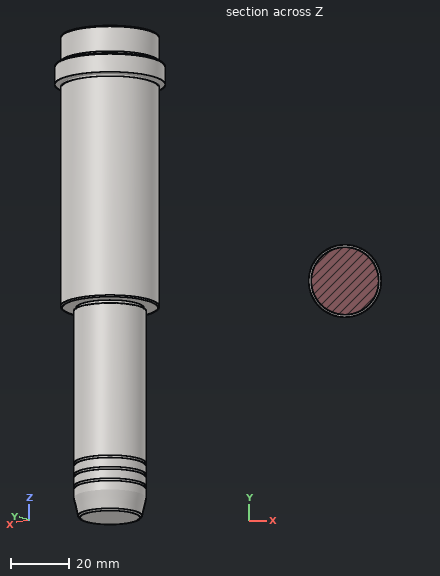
import cadquery as cq

total_length = 170.0
collar_top = 159.8
collar_bottom = 153.0
body_bottom = 74.1

collar_radius = 19.0
body_radius = 17.0
shank_diameter = 25.0
shank_radius = shank_diameter / 2

body_chamfer = 0.5
collar_chamfer = 0.5

collar_relief_width = 1.0
shank_relief_depth = 0.8
shank_relief_width = 1.2

groove_count = 3
lowest_groove_z = 10.5
groove_pitch = 4.0
groove_width = 0.8

taper_height = 7.0
tip_radius = 11.0
tip_chamfer = 0.7


def cylinder(radius, bottom, top):
    """Solid cylinder on the Z axis between two heights."""
    return cq.Workplane("XY").workplane(offset=bottom).circle(radius).extrude(top - bottom)


def round_groove(shaft_radius, center_z, width):
    """Ring of circular section to cut a half-round groove into a shaft."""
    section = cq.Workplane("XZ").center(shaft_radius, center_z).circle(width / 2)
    return section.revolve(360, (-shaft_radius, 0), (-shaft_radius, 1))


def tapered_tip():
    """Conical lead-in with a chamfered end face."""
    profile = [
        (0, 0),
        (tip_radius - tip_chamfer, 0),
        (tip_radius, tip_chamfer),
        (shank_radius, taper_height),
        (0, taper_height),
    ]
    return cq.Workplane("XZ").polyline(profile).close().revolve(360, (0, 0), (0, 1))


body = cylinder(body_radius, body_bottom, total_length).faces("<Z or >Z").chamfer(body_chamfer)
for relief_center in (collar_top + collar_relief_width / 2, collar_bottom - collar_relief_width / 2):
    body = body.cut(round_groove(body_radius, relief_center, collar_relief_width))

collar = cylinder(collar_radius, collar_bottom, collar_top).faces(">Z").chamfer(collar_chamfer)

neck_bottom = body_bottom - shank_relief_width
neck = cylinder(shank_radius - shank_relief_depth, neck_bottom, body_bottom)
shank = cylinder(shank_radius, taper_height, neck_bottom)
for index in range(groove_count):
    groove_z = lowest_groove_z + index * groove_pitch
    shank = shank.cut(round_groove(shank_radius, groove_z, groove_width))

result = body.union(collar).union(neck).union(shank).union(tapered_tip())